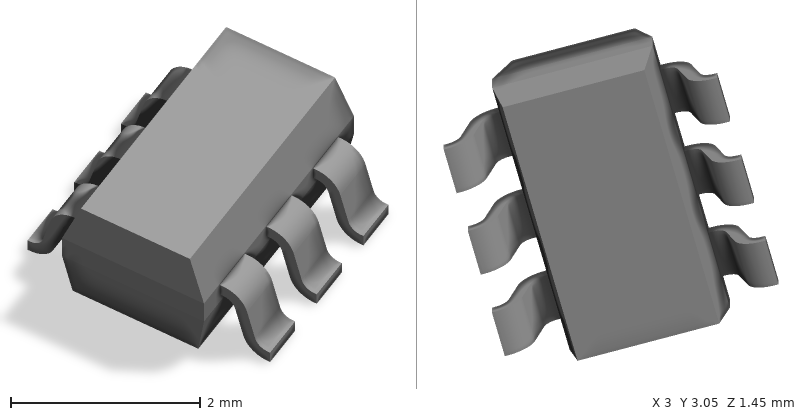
import cadquery as cq
import math

WAIST_WIDTH = 1.757
HOUSING_LENGTH = 3.05
TOP_WIDTH = 1.348
BOTTOM_WIDTH = 1.555
END_INSET = 0.05
HOUSING_BOTTOM = 0.05
HOUSING_TOP = 1.45
WAIST_HEIGHT = 0.29
TAPER_HEIGHT = (HOUSING_TOP - HOUSING_BOTTOM - WAIST_HEIGHT) / 2
WAIST_BOTTOM = HOUSING_BOTTOM + TAPER_HEIGHT
FACE_LENGTH = HOUSING_LENGTH - 2 * END_INSET

LEAD_SPAN = 3.0
LEAD_WIDTH = 0.51
LEAD_PITCH = 0.95
LEADS_PER_SIDE = 3
LEAD_THICKNESS = 0.152
LEAD_TOP = 0.875
LEAD_LEAN = math.radians(15)
SHOULDER_FLAT = 0.037
BEND_INNER_RADIUS = 0.16
BEND_OUTER_RADIUS = BEND_INNER_RADIUS + LEAD_THICKNESS

MARKER_DIAMETER = 0.088
MARKER_DEPTH = 0.03
MARKER_EDGE_DISTANCE = 0.215
MARKER_X = MARKER_EDGE_DISTANCE - TOP_WIDTH / 2
MARKER_Y = LEAD_PITCH


def make_marker():
    return (
        cq.Workplane("XY")
        .workplane(offset=HOUSING_TOP - MARKER_DEPTH)
        .center(MARKER_X, MARKER_Y)
        .circle(MARKER_DIAMETER / 2)
        .extrude(MARKER_DEPTH)
    )


def make_tapered_block(lower_z, lower_size, upper_size):
    return (
        cq.Workplane("XY")
        .workplane(offset=lower_z)
        .rect(*lower_size)
        .workplane(offset=TAPER_HEIGHT)
        .rect(*upper_size)
        .loft(ruled=True)
    )


def make_housing():
    waist_size = (WAIST_WIDTH, HOUSING_LENGTH)
    lower = make_tapered_block(HOUSING_BOTTOM, (BOTTOM_WIDTH, FACE_LENGTH), waist_size)
    waist = (
        cq.Workplane("XY")
        .workplane(offset=WAIST_BOTTOM)
        .rect(*waist_size)
        .extrude(WAIST_HEIGHT)
    )
    upper = make_tapered_block(WAIST_BOTTOM + WAIST_HEIGHT, waist_size, (TOP_WIDTH, FACE_LENGTH))
    return lower.union(waist).union(upper).cut(make_marker())


def make_right_lead(center_y):
    """Lead on the +X side, from the housing wall to the tip of the foot."""
    root_x = WAIST_WIDTH / 2
    tip_x = LEAD_SPAN / 2
    sine = math.sin(LEAD_LEAN)
    cosine = math.cos(LEAD_LEAN)

    upper_x = root_x + SHOULDER_FLAT
    upper_z = LEAD_TOP - BEND_OUTER_RADIUS
    lower_z = LEAD_THICKNESS + BEND_INNER_RADIUS
    center_spread = BEND_OUTER_RADIUS + BEND_INNER_RADIUS
    lower_x = upper_x + (center_spread + (upper_z - lower_z) * sine) / cosine

    def upper_bend_end(radius):
        return (upper_x + radius * cosine, upper_z + radius * sine)

    def lower_bend_start(radius):
        return (lower_x - radius * cosine, lower_z - radius * sine)

    profile = (
        cq.Workplane("XZ", origin=(0, center_y, 0))
        .moveTo(root_x, LEAD_TOP)
        .lineTo(upper_x, LEAD_TOP)
        .tangentArcPoint(upper_bend_end(BEND_OUTER_RADIUS), relative=False)
        .lineTo(*lower_bend_start(BEND_INNER_RADIUS))
        .tangentArcPoint((lower_x, LEAD_THICKNESS), relative=False)
        .lineTo(tip_x, LEAD_THICKNESS)
        .lineTo(tip_x, 0)
        .lineTo(lower_x, 0)
        .tangentArcPoint(lower_bend_start(BEND_OUTER_RADIUS), relative=False)
        .lineTo(*upper_bend_end(BEND_INNER_RADIUS))
        .tangentArcPoint((upper_x, LEAD_TOP - LEAD_THICKNESS), relative=False)
        .lineTo(root_x, LEAD_TOP - LEAD_THICKNESS)
        .close()
    )
    return profile.extrude(LEAD_WIDTH / 2, both=True)


def make_leads():
    leads = []
    for index in range(LEADS_PER_SIDE):
        center_y = (index - (LEADS_PER_SIDE - 1) / 2) * LEAD_PITCH
        right_lead = make_right_lead(center_y)
        left_lead = right_lead.mirror("YZ")
        leads += [right_lead.val(), left_lead.val()]
    return leads


housing = make_housing()
marker = make_marker()
leads = make_leads()

result = cq.Compound.makeCompound([housing.val(), marker.val(), *leads])